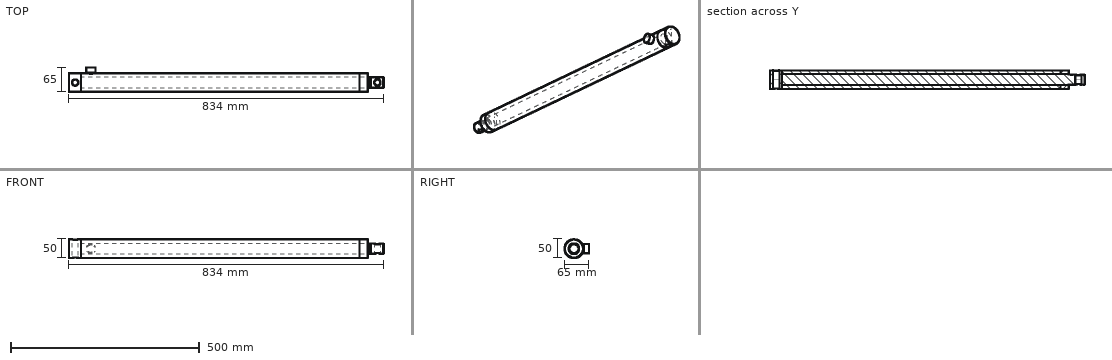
import cadquery as cq


overall_length = 834.0
body_diameter = 50.0
rod_diameter = 28.0

base_length = 33.0
barrel_end = 770.0
gland_end = 792.0
eye_start = 799.5

pin_diameter = 16.0
pin_edge_distance = 17.0

port_diameter = 25.0
port_x = 58.6
port_reach = 40.0
port_shoulder_y = 26.0
port_taper = 4.0

body_chamfer = 1.0
eye_chamfer = 2.0
neck_groove_width = 2.0
neck_groove_depth = 0.5


def axial_cylinder(diameter, start, end):
    """Solid round bar along X between two stations."""
    return cq.Workplane("YZ").workplane(offset=start).circle(diameter / 2).extrude(end - start)


def pin_hole(x):
    """Cutter for a cross hole along Z through the full body height."""
    cutter = cq.Workplane("XY").center(x, 0).circle(pin_diameter / 2)
    return cutter.extrude(body_diameter, both=True)


def make_base():
    """Solid end plug with a chamfered end rim and the mounting pin hole."""
    plug = axial_cylinder(body_diameter, 0, base_length)
    plug = plug.faces("<X").edges().chamfer(body_chamfer)
    return plug.cut(pin_hole(pin_edge_distance))


def make_barrel():
    """Tube bored to fit the rod."""
    tube = axial_cylinder(body_diameter, base_length, barrel_end)
    return tube.cut(axial_cylinder(rod_diameter, base_length, barrel_end))


def make_gland():
    """Guide ring at the rod end, chamfered around its outer rim."""
    ring = axial_cylinder(body_diameter, barrel_end, gland_end)
    ring = ring.faces(">X").edges().chamfer(body_chamfer)
    return ring.cut(axial_cylinder(rod_diameter, barrel_end, gland_end))


def make_rod():
    """Rod from the base plug to the chamfered eye, with a shallow neck groove before the eye."""
    rod = axial_cylinder(rod_diameter, base_length, overall_length)
    rod = rod.faces(">X").edges().chamfer(eye_chamfer)
    groove_start = eye_start - neck_groove_width
    neck = axial_cylinder(rod_diameter - 2 * neck_groove_depth, groove_start, eye_start)
    groove = axial_cylinder(body_diameter, groove_start, eye_start).cut(neck)
    return rod.cut(groove).cut(pin_hole(overall_length - pin_edge_distance))


def make_port():
    """Round boss along +Y with a 45 degree taper at its foot, saddled onto the outside of the barrel."""
    foot_y = port_shoulder_y - port_taper
    foot_plane = cq.Workplane("XZ", origin=(port_x, foot_y, 0))
    boss = foot_plane.circle(port_diameter / 2).extrude(foot_y - port_reach)
    boss = boss.faces("<Y").edges().chamfer(port_taper)
    return boss.cut(axial_cylinder(body_diameter, 0, overall_length))


base = make_base()
barrel = make_barrel()
gland = make_gland()
rod = make_rod()
port = make_port()

result = cq.Compound.makeCompound([base.val(), barrel.val(), gland.val(), rod.val(), port.val()])